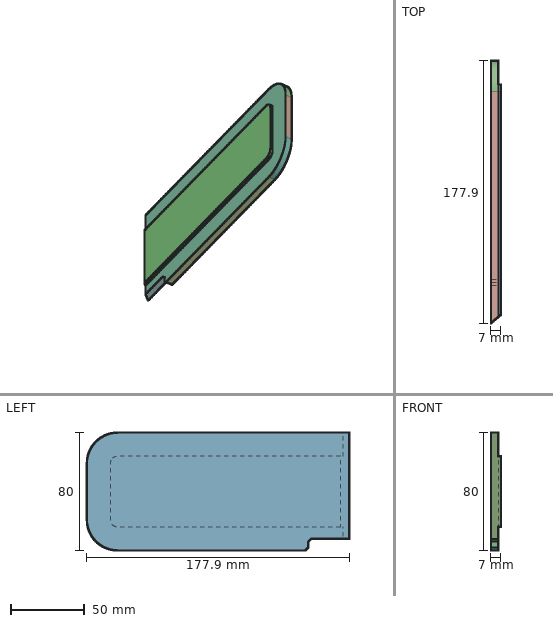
import cadquery as cq
import math

length = 177.94
height = 80.0
plate_thickness = 5.0
plate_corner_radius = 21.0

pad_thickness = 2.0
pad_corner_radius = 5.0
pad_inset = plate_corner_radius - pad_corner_radius

notch_length = 27.8
notch_height = 8.0
notch_chamfer = 2.0

bevel_angle = 40.0

total_thickness = plate_thickness + pad_thickness


def rounded_slab(inset, radius, x_start, thickness):
    """Slab inset from the plate outline on three sides, rounded at the +Y corners."""
    slab_length = length - inset
    slab_height = height - 2 * inset
    return (
        cq.Workplane("XY")
        .box(thickness, slab_length, slab_height, centered=False)
        .edges("|X and >Y")
        .fillet(radius)
        .translate((x_start, 0, inset))
    )


def notch_cutter():
    """Corner step whose inner corner and lower outer corner are both chamfered."""
    return (
        cq.Workplane("YZ")
        .lineTo(notch_length + notch_chamfer, 0)
        .lineTo(notch_length, notch_chamfer)
        .lineTo(notch_length, notch_height - notch_chamfer)
        .lineTo(notch_length - notch_chamfer, notch_height)
        .lineTo(0, notch_height)
        .close()
        .extrude(plate_thickness)
    )


def bevel_cutter():
    """Wedge that slopes the -Y end back from a sharp edge on the X = 0 face."""
    bevel_depth = total_thickness * math.tan(math.radians(bevel_angle))
    return (
        cq.Workplane("XY")
        .lineTo(total_thickness, 0)
        .lineTo(total_thickness, bevel_depth)
        .close()
        .extrude(height)
    )


plate = rounded_slab(0, plate_corner_radius, 0, plate_thickness)
pad = rounded_slab(pad_inset, pad_corner_radius, plate_thickness, pad_thickness)

result = plate.union(pad).cut(notch_cutter()).cut(bevel_cutter())